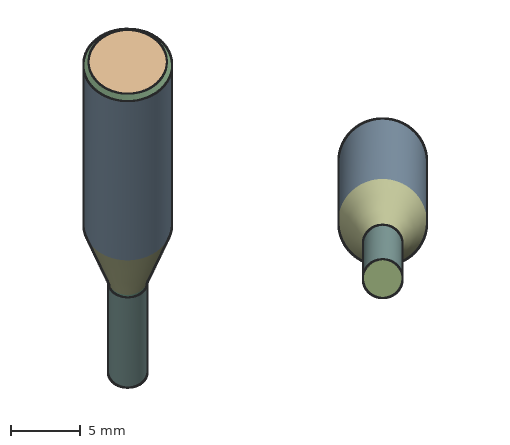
import cadquery as cq

total_length = 38.1
shank_diameter = 6.35
tip_diameter = 2.85

tip_length = 11.13
land_length = 0.25
shank_length = 20.0
top_chamfer = 0.4

shank_radius = shank_diameter / 2
tip_radius = tip_diameter / 2
taper_bottom = tip_length + land_length
taper_top = total_length - shank_length


def make_holder():
    """Shank with a chamfered top, tapering down to a short land that meets the tip."""
    half_profile = (
        cq.Workplane("XZ")
        .moveTo(0, tip_length)
        .lineTo(tip_radius, tip_length)
        .lineTo(tip_radius, taper_bottom)
        .lineTo(shank_radius, taper_top)
        .lineTo(shank_radius, total_length - top_chamfer)
        .lineTo(shank_radius - top_chamfer, total_length)
        .lineTo(0, total_length)
        .close()
    )
    return half_profile.revolve(360, (0, 0, 0), (0, 1, 0))


def make_tip():
    """Plain round tip that butts against the lower face of the holder."""
    return cq.Workplane("XY").circle(tip_radius).extrude(tip_length)


holder = make_holder()
tip = make_tip()

result = cq.Compound.makeCompound([holder.val(), tip.val()])